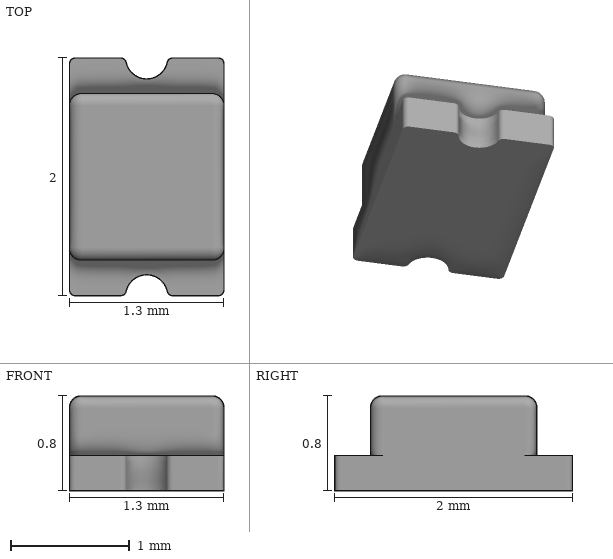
import cadquery as cq

base_width = 1.3
base_length = 2.0
base_height = 0.3
base_edge_radius = 0.05
notch_radius = 0.175

block_length = 1.4
total_height = 0.8
block_height = total_height - base_height
block_edge_radius = 0.1


def make_base():
    """Plate with notched ends; its corners and the notch lips share one rounding."""
    plate = cq.Workplane("XY").box(
        base_width, base_length, base_height, centered=(True, True, False)
    )
    end_centers = [(0, -base_length / 2), (0, base_length / 2)]
    notches = (
        cq.Workplane("XY").pushPoints(end_centers).circle(notch_radius).extrude(base_height)
    )
    return plate.cut(notches).edges("|Z").fillet(base_edge_radius)


def make_block():
    """Block with rounded upright edges and a rounded top rim."""
    block = (
        cq.Workplane("XY")
        .workplane(offset=base_height)
        .box(base_width, block_length, block_height, centered=(True, True, False))
    )
    return block.edges("|Z or >Z").fillet(block_edge_radius)


result = make_base().union(make_block())